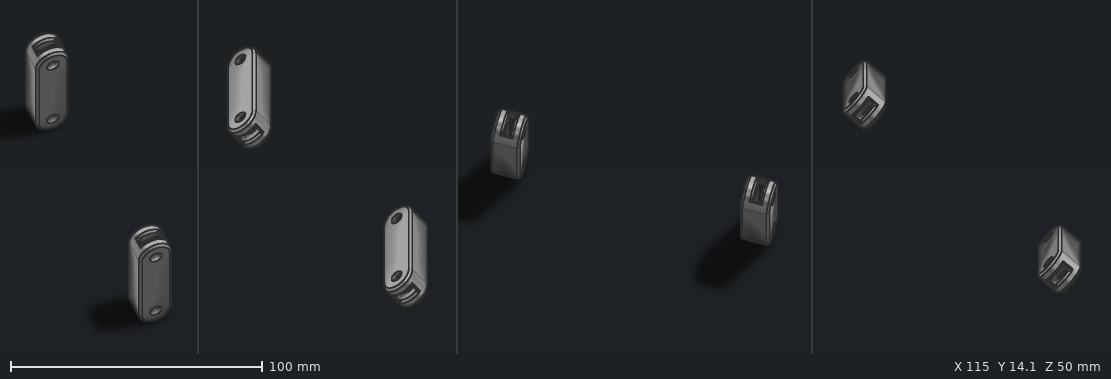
import cadquery as cq
import math

OVERALL_SPAN = 115.0
LINK_THICKNESS = 12.0
LINK_WIDTH = 14.1
LINK_HEIGHT = 50.0
EDGE_CHAMFER = 1.0

HOLE_DIAMETER = 5.1
HOLE_SPACING = LINK_HEIGHT - LINK_WIDTH

SLOT_THICKNESS = 3.2
SLOT_WIDTH = 9.0
MOUTH_CHAMFER = 1.0
CORNER_RADIUS = 1.1

END_RADIUS = LINK_WIDTH / 2
SLOT_SIDE = SLOT_THICKNESS / 2
SLOT_END = SLOT_WIDTH / 2


def link_blank():
    """Rounded-end bar, chamfered around both flat faces and centred on the origin."""
    bar = cq.Workplane("YZ").slot2D(LINK_HEIGHT, LINK_WIDTH, 90).extrude(LINK_THICKNESS / 2, both=True)
    return bar.faces("<X or >X").chamfer(EDGE_CHAMFER)


def cross_holes():
    """Two round holes through the thickness."""
    centres = [(0, -HOLE_SPACING / 2), (0, HOLE_SPACING / 2)]
    holes = cq.Workplane("YZ").pushPoints(centres).circle(HOLE_DIAMETER / 2)
    return holes.extrude(LINK_THICKNESS, both=True)


def cut_slot(body):
    """Cut the rectangular slot through the full height and chamfer both of its mouths."""
    slot = cq.Workplane("XY").rect(SLOT_THICKNESS, SLOT_WIDTH).extrude(LINK_HEIGHT, both=True)
    slotted = body.cut(slot)
    mouth_edges = [
        edge for edge in slotted.edges().vals()
        if abs(edge.Center().x) < SLOT_THICKNESS
        and abs(edge.Center().y) < SLOT_WIDTH
        and abs(edge.Center().z) > HOLE_SPACING / 2
    ]
    return slotted.newObject(mouth_edges).chamfer(MOUTH_CHAMFER)


def end_height(y):
    """Height of the rounded top above the origin at distance y from the middle plane."""
    return HOLE_SPACING / 2 + math.sqrt(END_RADIUS ** 2 - y ** 2)


def corner_filler():
    """Upper half of one rounded slot corner, its sloped top rising to the corner of the mouth."""
    slope = math.asin(SLOT_END / END_RADIUS)
    rim_y = SLOT_END + MOUTH_CHAMFER * math.cos(slope)
    side_y = SLOT_END - CORNER_RADIUS
    end_x = SLOT_SIDE - CORNER_RADIUS
    arc_reach = CORNER_RADIUS * math.sqrt(0.5)

    rim = cq.Vector(SLOT_SIDE + MOUTH_CHAMFER, rim_y, end_height(rim_y))
    on_side = cq.Vector(SLOT_SIDE, side_y, end_height(side_y) - MOUTH_CHAMFER)
    on_end = cq.Vector(end_x, SLOT_END, end_height(SLOT_END) - MOUTH_CHAMFER)

    post = (
        cq.Workplane("XY")
        .moveTo(on_side.x, on_side.y)
        .threePointArc((end_x + arc_reach, side_y + arc_reach), (on_end.x, on_end.y))
        .lineTo(rim.x, rim.y)
        .close()
        .extrude(LINK_HEIGHT / 2)
    )
    upward = (on_side - rim).cross(rim - on_end)
    top_plane = cq.Plane(origin=rim, xDir=on_side - on_end, normal=upward)
    above_top = cq.Workplane(top_plane).rect(LINK_HEIGHT, LINK_HEIGHT).extrude(LINK_HEIGHT)
    return post.cut(above_top)


def fill_corners(body):
    """Round all four slot corners, above and below the middle."""
    filler = corner_filler()
    for plane in ("YZ", "XZ", "XY"):
        filler = filler.union(filler.mirror(plane))
    return body.union(filler)


def make_link(centre_x):
    """One finished link."""
    body = fill_corners(cut_slot(link_blank()))
    return body.cut(cross_holes()).translate((centre_x, 0, 0))


link_offset = (OVERALL_SPAN - LINK_THICKNESS) / 2
links = [make_link(side * link_offset) for side in (-1, 1)]
result = cq.Compound.makeCompound([link.val() for link in links])